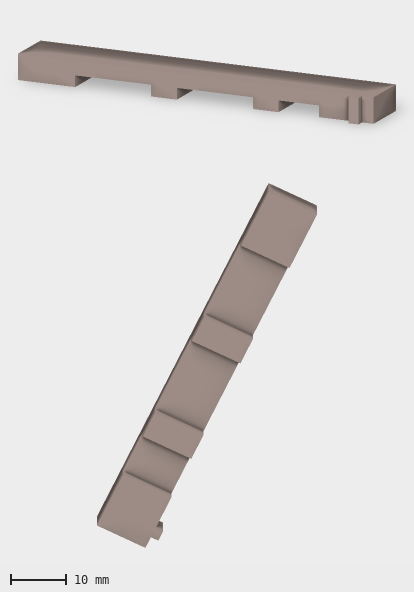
import cadquery as cq

length = 70.0
height = 4.9
total_depth = 11.1
tab_depth = 1.5
body_depth = total_depth - tab_depth

notch_height = 2.2
first_notch_start = 11.3
long_notch = 15.0
short_notch = 8.0
foot_width = 5.05

tab_width = 1.95
tab_end_gap = 2.25


def box(x, y, z, size_x, size_y, size_z):
    """Box placed by its lowest corner."""
    return cq.Workplane("XY").box(size_x, size_y, size_z, centered=False).translate((x, y, z))


bar = box(0, 0, 0, length, body_depth, height)

notch_start = first_notch_start
for notch_length in (long_notch, long_notch, short_notch):
    bar = bar.cut(box(notch_start, 0, 0, notch_length, body_depth, notch_height))
    notch_start += notch_length + foot_width

tab_start = length - tab_end_gap - tab_width
tab = box(tab_start, -tab_depth, 0, tab_width, tab_depth, height)

result = bar.union(tab)